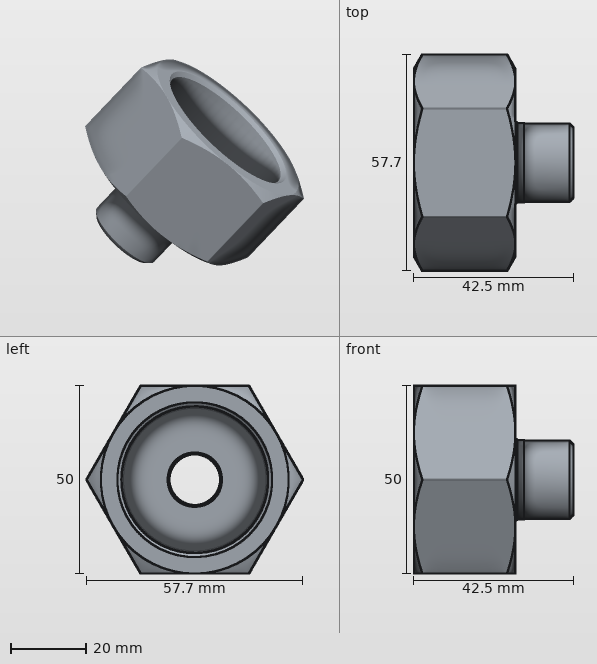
import cadquery as cq
import math

total_length = 42.5
hex_length = 27.0
across_corners = 57.65
corner_radius = 0.3
end_chamfer_angle = math.radians(30)
side_count = 6
half_side_angle = math.pi / side_count

male_diameter = 21.0
male_chamfer = 1.15
neck_diameter = 21.15
neck_length = 2.3
neck_base_chamfer = 0.5

socket_diameter = 39.15
socket_depth = 20.4
socket_mouth_diameter = 41.2
inner_diameter = 38.95
inner_length = 1.9
floor_radius = 0.49

bore_diameter = 13.5
bore_chamfer = 0.49

corner_loss = corner_radius * (1 / math.cos(half_side_angle) - 1)
sharp_across_corners = across_corners + 2 * corner_loss
flat_radius = sharp_across_corners / 2 * math.cos(half_side_angle)


def revolve_about_x(points):
    """Turn a closed (x, radius) outline about the X axis."""
    return cq.Workplane("XY").polyline(points).close().revolve(360, (0, 0, 0), (1, 0, 0))


def hex_body():
    """Hexagon with corners on Y, rounded edges and conical end chamfers."""
    prism = cq.Workplane("YZ").polygon(side_count, sharp_across_corners).extrude(hex_length)
    prism = prism.edges("|X").fillet(corner_radius)
    corner = sharp_across_corners / 2
    setback = (corner - flat_radius) * math.tan(end_chamfer_angle)
    envelope = revolve_about_x([
        (0, 0),
        (0, flat_radius),
        (setback, corner),
        (hex_length - setback, corner),
        (hex_length, flat_radius),
        (hex_length, 0),
    ])
    return prism.intersect(envelope)


def male_end():
    """Plain spigot with a flared, slightly wider neck and a chamfered tip."""
    neck_radius = neck_diameter / 2
    male_radius = male_diameter / 2
    neck_end = hex_length + neck_length
    return revolve_about_x([
        (socket_depth + bore_chamfer, 0),
        (socket_depth + bore_chamfer, neck_radius),
        (hex_length, neck_radius),
        (hex_length, neck_radius + neck_base_chamfer),
        (hex_length + neck_base_chamfer, neck_radius),
        (neck_end, neck_radius),
        (neck_end, male_radius),
        (total_length - male_chamfer, male_radius),
        (total_length, male_radius - male_chamfer),
        (total_length, 0),
    ])


def socket():
    """Cutter for the socket: chamfered mouth, narrower inner end and rounded floor."""
    socket_radius = socket_diameter / 2
    mouth_radius = socket_mouth_diameter / 2
    mouth_chamfer = mouth_radius - socket_radius
    inner_start = socket_depth - inner_length
    cutter = revolve_about_x([
        (0, 0),
        (0, mouth_radius),
        (mouth_chamfer, socket_radius),
        (inner_start, socket_radius),
        (inner_start, inner_diameter / 2),
        (socket_depth, inner_diameter / 2),
        (socket_depth, 0),
    ])
    return cutter.faces(">X").edges().fillet(floor_radius)


def through_bore():
    """Cutter for the central bore with a chamfer at the socket floor."""
    bore_radius = bore_diameter / 2
    return revolve_about_x([
        (0, 0),
        (0, bore_radius + bore_chamfer),
        (socket_depth, bore_radius + bore_chamfer),
        (socket_depth + bore_chamfer, bore_radius),
        (total_length, bore_radius),
        (total_length, 0),
    ])


result = hex_body().union(male_end()).cut(socket()).cut(through_bore())